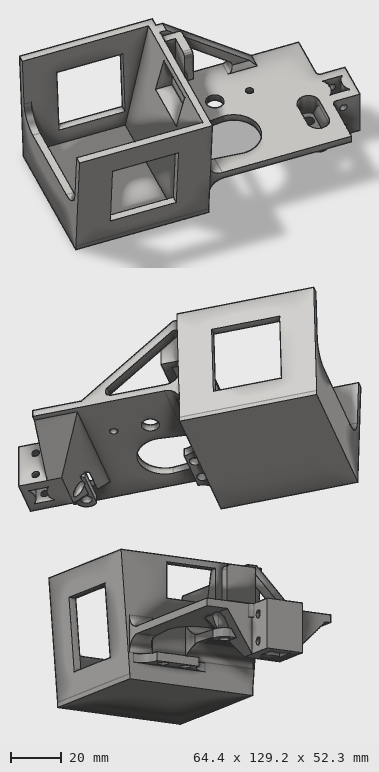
import cadquery as cq
import math


total_length = 129.23

box_height = 52.27
box_top_width = 64.4
box_base_width = 56.4
box_depth = 56.63
base_height = 2.1
floor_thickness = 4.5
side_wall = 3.15
front_wall = 3.2
rear_wall_top = 2.9
rear_wall_base = 14.3
flare = (box_top_width - box_base_width) / 2 / (box_height - base_height)

side_window_depth = 28.1
side_window_height = 30.0
side_window_y = -28.2
side_window_base = 11.5
rear_window_width = 22.3
rear_window_base = 34.9
rear_window_top = 49.7
front_opening_base = 21.3
front_opening_radius = 9.4

plate_width = 56.7
plate_top = 20.3
plate_thickness = 3.15
plate_length = 60.8
plate_bottom = plate_top - plate_thickness
upper_root_fillet = 5.7
lower_root_fillet = 6.3

arc_middle = 1 - math.sqrt(0.5)

lug_width = 16.2
lug_x = -0.4
lug_end = total_length - box_depth
lug_hole_diameter = 3.1
lug_hole_y = 65.5
lug_hole_heights = (4.3, 15.3)
lug_corner_radius = 1.6
lug_corner_height = 5.5
lug_window_width = 8.3
lug_window_length = 8.3
lug_window_bulge = 1.6
lug_window_y = 65.6

support_base_front = 54.8
support_top_front = 43.0
support_top_left = -26.0
support_top_right = 19.0
seat_lean_edge = 54.9

servo_x = 10.15
servo_screw_pitch = 10.0
servo_screw_diameter = 4.5
tab_bottom = 7.0
tab_thickness = 3.6
tab_top = tab_bottom + tab_thickness
tab_length = 19.1
tab_width = 9.1
front_tab_y = 3.75
front_tab_edge = 6.9
rear_tab_y = 51.7
rear_tab_edge = 48.4
servo_opening_y = 17.75
servo_opening_radius = 11.05
servo_opening_base_width = 19.3

small_hole = (-10.3, 32.7, 3.2)
large_hole = (-9.8, 17.7, 7.21)

brace_thickness = 4.25
brace_left = -plate_width / 2
brace_inner = brace_left + brace_thickness
brace_foot = 40.6
brace_shoulder = 2.8
brace_gap_foot = 34.8
brace_gap_toe_radius = 2.4
brace_gap_head_radius = 2.0
brace_slope = (box_height - plate_top) / (brace_foot - brace_shoulder)
gusset_size = 2.1
gusset_start = 27.9

hook_depth = 9.0
hook_arm_thickness = 3.7
hook_reach = -11.0
hook_wall_thickness = 3.2
hook_tip_radius = 2.0


def block(x0, x1, y0, y1, z0, z1):
    """Axis-aligned block between two opposite corners."""
    return cq.Workplane("XY").box(x1 - x0, y1 - y0, z1 - z0, centered=False).translate((x0, y0, z0))


def side_profile(x):
    """Workplane at the given X whose local axes are Y and Z."""
    return cq.Workplane("YZ", origin=(x, 0, 0))


def stadium(y, bottom, height):
    """Round-ended block on the servo centre line."""
    plane = cq.Workplane("XY", origin=(servo_x, y, bottom))
    return plane.slot2D(tab_length, tab_width).extrude(height)


def outer_half_width(z):
    """Half of the outer box width at a height on the flared walls."""
    return box_base_width / 2 + flare * (z - base_height)


def make_box():
    """Solid block with flared sides above a straight foot."""
    half_base = box_base_width / 2
    half_top = box_top_width / 2
    return (
        cq.Workplane("XZ")
        .polyline([
            (-half_base, 0),
            (half_base, 0),
            (half_base, base_height),
            (half_top, box_height),
            (-half_top, box_height),
            (-half_base, base_height),
        ])
        .close()
        .extrude(box_depth)
    )


def inner_trapezoid(base, radius=0):
    """Front-facing section between the inner side faces, open above the box."""
    low = outer_half_width(base) - side_wall
    high = outer_half_width(box_height) - side_wall
    section = (
        cq.Workplane("XZ")
        .polyline([(-low, base), (low, base), (high, box_height), (-high, box_height)])
        .close()
        .extrude(box_depth)
    )
    if radius:
        section = section.edges("|Y and <Z").fillet(radius)
    return section


def cut_box(body):
    """Cavity, low front opening and the windows in the other three walls."""
    cavity_profile = (
        side_profile(-box_top_width / 2)
        .polyline([
            (front_wall - box_depth, floor_thickness),
            (-rear_wall_base, floor_thickness),
            (-rear_wall_top, box_height),
            (front_wall - box_depth, box_height),
        ])
        .close()
        .extrude(box_top_width)
    )
    body = body.cut(inner_trapezoid(floor_thickness).intersect(cavity_profile))

    front_zone = block(
        -box_top_width, box_top_width, -box_depth, front_wall - box_depth, 0, box_height
    )
    body = body.cut(inner_trapezoid(front_opening_base, front_opening_radius).intersect(front_zone))

    side_window = block(
        -box_top_width, box_top_width,
        side_window_y - side_window_depth / 2, side_window_y + side_window_depth / 2,
        side_window_base, side_window_base + side_window_height,
    )
    rear_window = block(
        -rear_window_width / 2, rear_window_width / 2,
        -rear_wall_base, 0,
        rear_window_base, rear_window_top,
    )
    return body.cut(side_window).cut(rear_window)


def make_plate():
    """Plate with its root filleted into the rear face of the box, above and below."""
    upper = upper_root_fillet
    lower = lower_root_fillet
    upper_mid = upper * arc_middle
    lower_mid = lower * arc_middle
    profile = (
        side_profile(-plate_width / 2)
        .moveTo(0, plate_bottom - lower)
        .threePointArc((lower_mid, plate_bottom - lower_mid), (lower, plate_bottom))
        .lineTo(plate_length, plate_bottom)
        .lineTo(plate_length, plate_top)
        .lineTo(upper, plate_top)
        .threePointArc((upper_mid, plate_top + upper_mid), (0, plate_top + upper))
        .close()
    )
    return profile.extrude(plate_width)


def make_brace():
    """Sloping strut from the plate to the box rim, with a bevelled foot on its inner side."""
    outer = (
        side_profile(brace_left)
        .polyline([
            (0, plate_top),
            (brace_foot, plate_top),
            (brace_shoulder, box_height),
            (0, box_height),
        ])
        .close()
        .extrude(brace_thickness)
    )
    gap_head = plate_top + brace_slope * brace_gap_foot
    gap = (
        side_profile(brace_left)
        .polyline([(0, plate_top), (brace_gap_foot, plate_top), (0, gap_head)])
        .close()
        .extrude(brace_thickness)
        .edges("|X and >Y")
        .fillet(brace_gap_toe_radius)
        .edges("|X and >Z")
        .fillet(brace_gap_head_radius)
    )
    gusset = (
        cq.Workplane("XZ", origin=(0, brace_foot, 0))
        .polyline([
            (brace_inner, plate_top),
            (brace_inner + gusset_size, plate_top),
            (brace_inner, plate_top + gusset_size),
        ])
        .close()
        .extrude(brace_foot - gusset_start)
    )
    sheet = outer.cut(gap)
    gusset_limit = sheet.translate((brace_thickness, 0, 0))
    return sheet.union(gusset.intersect(gusset_limit))


def make_hook():
    """L-shaped catch: a short wall on the box and an arm parallel to its rear face."""
    arm = block(
        brace_inner, hook_reach,
        hook_depth - hook_arm_thickness, hook_depth,
        rear_window_base, rear_window_top,
    )
    arm = arm.edges(">X and >Z").fillet(hook_tip_radius)
    wall = block(
        brace_inner, brace_inner + hook_wall_thickness,
        0, hook_depth,
        rear_window_base, rear_window_top,
    )
    return arm.union(wall)


def make_lug():
    """Deep block behind the plate, with concave corners where the two meet."""
    left = lug_x - lug_width / 2
    right = lug_x + lug_width / 2
    lug = block(left, right, plate_length, lug_end, 0, plate_top)
    radius = lug_corner_radius
    middle = radius * arc_middle
    corners = (
        cq.Workplane("XY", origin=(0, plate_length, plate_top))
        .moveTo(left - radius, 0)
        .lineTo(right + radius, 0)
        .threePointArc((right + middle, middle), (right, radius))
        .lineTo(left, radius)
        .threePointArc((left - middle, middle), (left - radius, 0))
        .close()
        .extrude(-lug_corner_height)
    )
    return lug.union(corners)


def make_support():
    """Bracket spreading from the foot of the lug to the underside of the plate."""
    base_left = lug_x - lug_width / 2
    base_right = lug_x + lug_width / 2
    return (
        cq.Workplane("XY")
        .polyline([
            (base_left, support_base_front),
            (base_right, support_base_front),
            (base_right, plate_length),
            (base_left, plate_length),
        ])
        .close()
        .workplane(offset=plate_bottom)
        .polyline([
            (support_top_left, support_top_front),
            (support_top_right, support_top_front),
            (support_top_right, plate_length),
            (support_top_left, plate_length),
        ])
        .close()
        .loft(ruled=True)
    )


def cut_lug(body):
    """Waisted vertical window and the cross holes for two screws."""
    half_width = lug_window_width / 2
    half_length = lug_window_length / 2
    waist = half_length - lug_window_bulge
    window = (
        cq.Workplane("XY", origin=(lug_x, lug_window_y, 0))
        .moveTo(-half_width, -half_length)
        .threePointArc((0, -waist), (half_width, -half_length))
        .lineTo(half_width, half_length)
        .threePointArc((0, waist), (-half_width, half_length))
        .close()
        .extrude(plate_top)
    )
    screw_holes = (
        side_profile(lug_x - lug_width / 2)
        .pushPoints([(lug_hole_y, z) for z in lug_hole_heights])
        .circle(lug_hole_diameter / 2)
        .extrude(lug_width)
    )
    return body.cut(window).cut(screw_holes)


def front_tab():
    """Tab on the rear face of the box, widening towards it through concave corners."""
    left = servo_x - tab_length / 2
    right = servo_x + tab_length / 2
    flare_radius = front_tab_edge
    middle = flare_radius * arc_middle
    return (
        cq.Workplane("XY", origin=(0, 0, tab_bottom))
        .moveTo(left - flare_radius, 0)
        .threePointArc((left - middle, middle), (left, flare_radius))
        .lineTo(right, flare_radius)
        .threePointArc((right + middle, middle), (right + flare_radius, 0))
        .close()
        .extrude(tab_thickness)
    )


def front_seat_access(height):
    """Slot above the front tab: rounded towards the box, square towards the servo."""
    top = tab_top + height
    left = servo_x - tab_length / 2
    right = servo_x + tab_length / 2
    square_part = block(left, right, front_tab_y, front_tab_edge, tab_top, top)
    slot_zone = block(left, right, 0, front_tab_edge, tab_top, top)
    return stadium(front_tab_y, tab_top, height).intersect(slot_zone).union(square_part)


def make_servo_tabs():
    rear_zone = block(
        servo_x - tab_length, servo_x + tab_length, rear_tab_edge, plate_length, tab_bottom, tab_top
    )
    rear_tab = stadium(rear_tab_y, tab_bottom, tab_thickness).intersect(rear_zone)
    return front_tab().union(rear_tab)


def rear_seat_access(height):
    """Slot above the rear tab; below the plate its rear wall leans towards the servo."""
    slot_rear = rear_tab_y + tab_width / 2
    leaning_wall = (
        side_profile(servo_x - tab_length / 2)
        .polyline([(seat_lean_edge, tab_top), (slot_rear, tab_top), (slot_rear, plate_bottom)])
        .close()
        .extrude(tab_length)
        .intersect(make_support())
    )
    return stadium(rear_tab_y, tab_top, height).cut(leaning_wall)


def cut_servo_seat(body):
    """Access slots above both tabs, the tab screw holes and the opening between them."""
    access_height = plate_top + upper_root_fillet - tab_top
    body = body.cut(front_seat_access(access_height))
    body = body.cut(rear_seat_access(access_height))
    for tab_y in (front_tab_y, rear_tab_y):
        screws = (
            cq.Workplane("XY", origin=(servo_x, tab_y, 0))
            .rarray(servo_screw_pitch, 1, 2, 1)
            .circle(servo_screw_diameter / 2)
            .extrude(tab_top)
        )
        body = body.cut(screws)

    servo_clearance = block(
        servo_x - tab_length, servo_x + tab_length, 0, rear_tab_edge, 0, plate_top
    )
    body = body.cut(stadium(rear_tab_y, 0, tab_top).intersect(servo_clearance))

    radius = servo_opening_radius
    half_base = servo_opening_base_width / 2
    base_y = front_tab_y - servo_opening_y
    opening = (
        cq.Workplane("XY", origin=(servo_x, servo_opening_y, tab_top))
        .moveTo(-half_base, base_y)
        .lineTo(-radius, 0)
        .threePointArc((0, radius), (radius, 0))
        .lineTo(half_base, base_y)
        .close()
        .extrude(access_height)
    )
    return body.cut(opening)


def cut_plate_holes(body):
    for x, y, diameter in (small_hole, large_hole):
        hole = cq.Workplane("XY", origin=(x, y, plate_bottom)).circle(diameter / 2).extrude(plate_thickness)
        body = body.cut(hole)
    return body


body = cut_box(make_box())
body = body.union(make_plate()).union(make_lug()).union(make_support())
body = cut_lug(body)
body = body.union(make_brace()).union(make_hook())
body = body.union(make_servo_tabs())
body = cut_servo_seat(body)
result = cut_plate_holes(body)